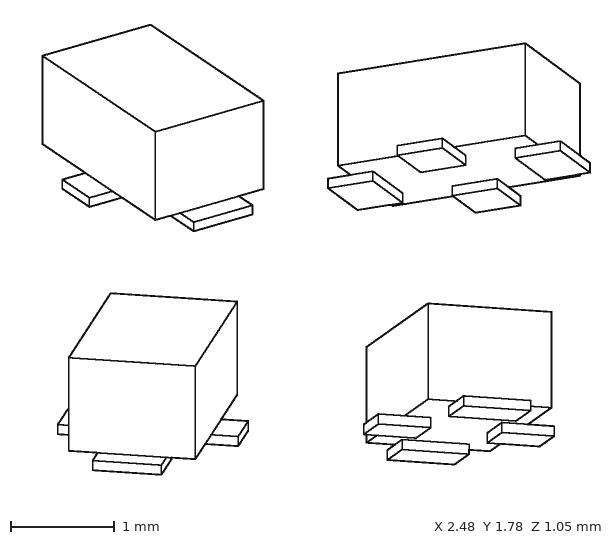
import cadquery as cq

overall_length = 2.48
overall_width = 1.78
overall_height = 1.05

body_length = 2.0
body_width = 1.25

terminal_thickness = 0.1
end_terminal_length = 0.48
end_terminal_width = 0.68
side_terminal_length = 0.53
side_terminal_width = 0.48

body_height = overall_height - terminal_thickness
end_terminal_x = (overall_length - end_terminal_length) / 2
side_terminal_y = (overall_width - side_terminal_length) / 2


def block(size_x, size_y, size_z, x=0, y=0, base_z=0):
    """Box centred on (x, y) and standing on base_z."""
    return (
        cq.Workplane("XY")
        .box(size_x, size_y, size_z, centered=(True, True, False))
        .translate((x, y, base_z))
    )


def package_body():
    """Plain block resting on top of the terminals."""
    return block(body_length, body_width, body_height, base_z=terminal_thickness)


def end_terminal(side):
    """Terminal projecting past the -X or +X end of the body."""
    return block(end_terminal_length, end_terminal_width, terminal_thickness, x=side * end_terminal_x)


def side_terminal(side):
    """Terminal projecting past the -Y or +Y side of the body."""
    return block(side_terminal_width, side_terminal_length, terminal_thickness, y=side * side_terminal_y)


body = package_body()
end_terminals = [end_terminal(side).val() for side in (-1, 1)]
side_terminals = [side_terminal(side).val() for side in (-1, 1)]

result = cq.Compound.makeCompound([body.val(), *end_terminals, *side_terminals])